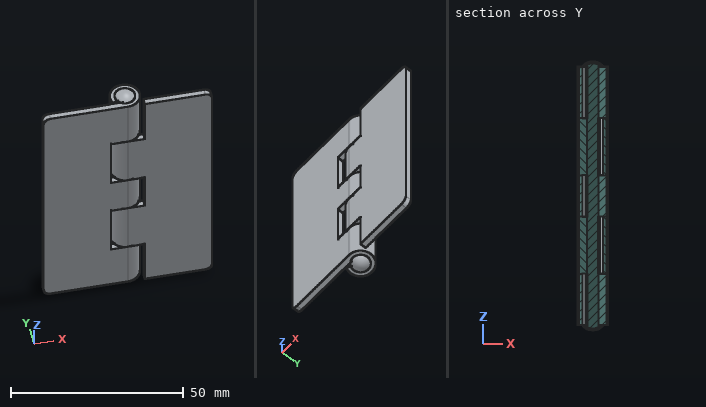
import cadquery as cq
import math


total_height = 78.0
leaf_height = 75.0
open_width = 50.0
knuckle_diameter = 8.8
sheet_thickness = 2.0
corner_radius = 2.0
notch_reach = 5.0
middle_knuckle = 12.0
right_knuckle = 16.5
head_diameter = 6.0
curl_end_angle = 210.0

outer_radius = knuckle_diameter / 2
bore_radius = outer_radius - sheet_thickness
half_width = open_width / 2
half_leaf = leaf_height / 2
head_height = (total_height - leaf_height) / 2
head_radius = head_diameter / 2

inner_joint = middle_knuckle / 2
outer_joint = inner_joint + right_knuckle
left_spans = [(-half_leaf, -outer_joint), (-inner_joint, inner_joint), (outer_joint, half_leaf)]
right_spans = [(-outer_joint, -inner_joint), (inner_joint, outer_joint)]


def polar(radius, degrees):
    angle = math.radians(degrees)
    return radius * math.cos(angle), radius * math.sin(angle)


def rolled_sheet():
    """Flat sheet on the -X side, tangent to a curl that ends just above the sheet."""
    curl_start_angle = -90.0
    curl_middle_angle = (curl_start_angle + curl_end_angle) / 2
    sheet = (
        cq.Workplane("XY", origin=(0, 0, -half_leaf))
        .moveTo(-half_width, -outer_radius)
        .lineTo(0, -outer_radius)
        .threePointArc(polar(outer_radius, curl_middle_angle), polar(outer_radius, curl_end_angle))
        .lineTo(*polar(bore_radius, curl_end_angle))
        .threePointArc(polar(bore_radius, curl_middle_angle), (0, -bore_radius))
        .lineTo(-half_width, -bore_radius)
        .close()
        .extrude(leaf_height)
    )
    return sheet.edges("|Y and <X").fillet(corner_radius)


def knuckle_notch(bottom, top):
    """Block that clears the space taken by one knuckle of the other leaf."""
    return cq.Workplane("XY", origin=(0, 0, bottom)).rect(
        2 * notch_reach, 2 * knuckle_diameter
    ).extrude(top - bottom)


def make_leaf(other_spans):
    leaf = rolled_sheet()
    for bottom, top in other_spans:
        leaf = leaf.cut(knuckle_notch(bottom, top))
    return leaf


def make_pin():
    """Shank filling the bore, with a domed head resting on each end knuckle."""
    half_height = half_leaf + head_height
    dome_radius = (head_radius**2 + head_height**2) / (2 * head_height)
    dome_center = half_height - dome_radius
    mid_angle = (90 + math.degrees(math.acos(head_radius / dome_radius))) / 2
    mid_x, mid_rise = polar(dome_radius, mid_angle)
    mid_z = dome_center + mid_rise
    return (
        cq.Workplane("XZ")
        .moveTo(0, -half_height)
        .threePointArc((mid_x, -mid_z), (head_radius, -half_leaf))
        .lineTo(bore_radius, -half_leaf)
        .lineTo(bore_radius, half_leaf)
        .lineTo(head_radius, half_leaf)
        .threePointArc((mid_x, mid_z), (0, half_height))
        .close()
        .revolve(360, (0, 0, 0), (0, 1, 0))
    )


left_leaf = make_leaf(right_spans)
right_leaf = make_leaf(left_spans).mirror("YZ")
pin = make_pin()

result = cq.Compound.makeCompound([left_leaf.val(), right_leaf.val(), pin.val()])